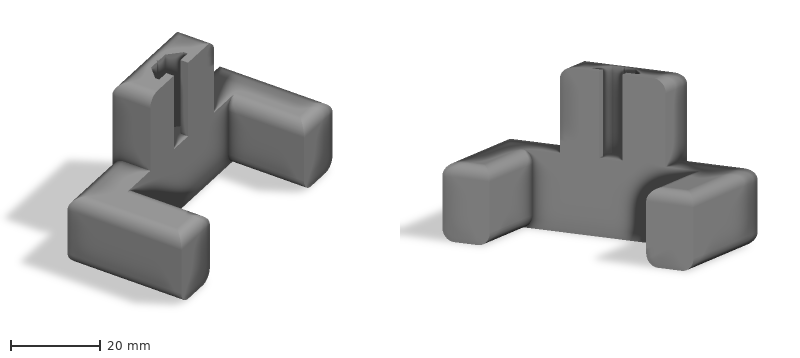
import cadquery as cq

base_width = 64.0
base_height = 18.0
arm_reach = 30.0
arm_width = 12.0
wall_thickness = 10.0
edge_radius = 3.0

tower_width = 27.0
tower_height = 38.0
tower_offset = 0.5

slot_shoulder = 7.0
slot_lip = 8.0
head_half_width = 6.0
neck_half_width = 3.0
slot_back = slot_shoulder - (head_half_width - neck_half_width)
notch_depth = 0.4
slot_floor = base_height


def block(x_min, x_max, y_min, y_max, z_min, z_max):
    size = (x_max - x_min, y_max - y_min, z_max - z_min)
    return cq.Workplane("XY").box(*size, centered=False).translate((x_min, y_min, z_min))


def make_wall():
    """Back wall, its top and bottom rounded except on the arm side."""
    half = base_width / 2
    wall = block(0, wall_thickness, -half, half, 0, base_height)
    return wall.faces("<Z or >Z").edges("not >X").fillet(edge_radius)


def make_arm(side):
    """Arm on one side (+1 or -1): long edges rounded, and the top edge of its free end."""
    outer = side * base_width / 2
    inner = outer - side * arm_width
    arm = block(wall_thickness, arm_reach, min(outer, inner), max(outer, inner), 0, base_height)
    return arm.edges("|X or (>X and >Z)").fillet(edge_radius)


def make_tower():
    """Upright block, its top rounded on the back and both sides."""
    y_min = tower_offset - tower_width / 2
    z_min = base_height - edge_radius
    tower = block(0, wall_thickness, y_min, y_min + tower_width, z_min, tower_height)
    return tower.faces(">Z").edges("not >X").fillet(edge_radius)


def make_slot():
    """Keyed slot cutter, symmetric about Y = 0."""
    half_outline = [
        (wall_thickness, neck_half_width),
        (slot_lip, neck_half_width),
        (slot_lip, head_half_width),
        (slot_shoulder, head_half_width),
        (slot_back, neck_half_width),
        (slot_back, notch_depth),
    ]
    mirrored = [(x, -y) for x, y in reversed(half_outline)]
    outline = half_outline + [(slot_back - notch_depth, 0)] + mirrored
    depth = tower_height - slot_floor
    return cq.Workplane("XY").workplane(offset=slot_floor).polyline(outline).close().extrude(depth)


body = make_wall().union(make_tower())
for side in (1, -1):
    body = body.union(make_arm(side))

result = body.cut(make_slot())